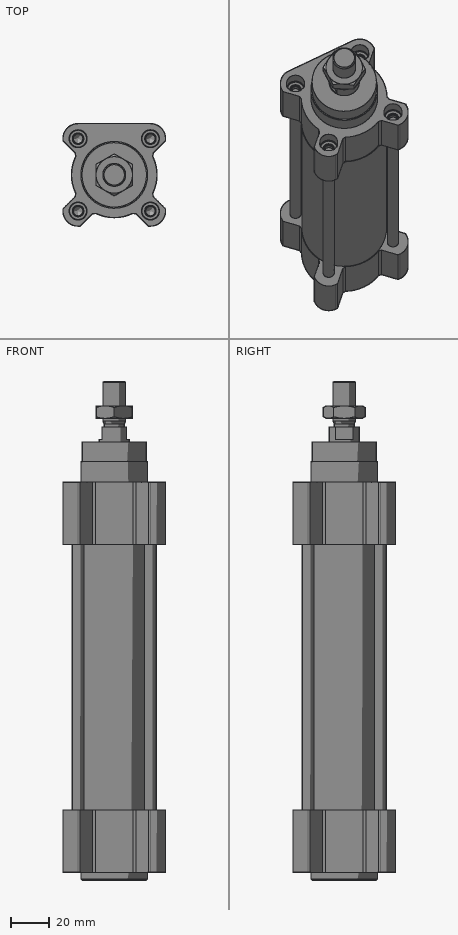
import cadquery as cq
import math

TOTAL_HEIGHT = 262.0
CAP_HEIGHT = 32.7
REAR_BOSS_HEIGHT = 4.2
FRONT_CAP_TOP = 209.0
FRONT_BOSS_TOP = 219.7
HEAD_TOP = 230.2
SHOULDER_TOP = 238.0
NECK_TOP = 239.6
THREAD_BOTTOM = 241.2

CAP_WIDTH = 54.0
TIE_ROD_SPACING = 38.0
CAP_BODY_DIAMETER = 45.0
LUG_WIDTH = 12.8
LUG_ROOT_CHAMFER = 1.0

BARREL_DIAMETER = 44.5
TIE_ROD_DIAMETER = 6.0
BOSS_DIAMETER = 35.0
HEAD_DIAMETER = 33.8
REAR_BOSS_CHAMFER = 0.8

RECESS_DIAMETER = 9.5
RECESS_DEPTH = 7.9
SEAT_DIAMETER = 9.0
SEAT_DEPTH = 8.6
COUNTERBORE_DIAMETER = 6.0
COUNTERBORE_DEPTH = 10.0
DRILL_DIAMETER = 5.0
DRILL_DEPTH = 12.5
DRILL_POINT_ANGLE = 118.0

ROD_DIAMETER = 16.0
THREAD_DIAMETER = 12.0
NECK_DIAMETER = 10.7
TIP_CHAMFER = 0.65
WRENCH_FLAT_WIDTH = 13.0
WRENCH_FLAT_BOTTOM = 231.5

NUT_BOTTOM = 242.5
NUT_HEIGHT = 6.5
NUT_FLAT_WIDTH = 19.0
NUT_CHAMFER_ANGLE = 30.0

FRONT_CAP_BOTTOM = FRONT_CAP_TOP - CAP_HEIGHT
REAR_CAP_TOP = REAR_BOSS_HEIGHT + CAP_HEIGHT
HALF_SPACING = TIE_ROD_SPACING / 2
CORNER_RADIUS = (CAP_WIDTH - TIE_ROD_SPACING) / 2
TIE_ROD_CENTRES = [(x, y) for x in (-HALF_SPACING, HALF_SPACING) for y in (-HALF_SPACING, HALF_SPACING)]


def cylinder(diameter, bottom, top):
    """Upright cylinder on the Z axis between two heights."""
    return cq.Workplane("XY").workplane(offset=bottom).circle(diameter / 2).extrude(top - bottom)


def revolved(profile):
    """Solid of revolution about the Z axis from (radius, height) points."""
    return cq.Workplane("XZ").polyline(profile).close().revolve(360, (0, 0, 0), (0, 1, 0))


def make_cap(bottom):
    """Round cap with four diagonal lugs and a flat plate joining the two +Y lugs."""
    base = cq.Workplane("XY").workplane(offset=bottom)
    body = cylinder(CAP_BODY_DIAMETER, bottom, bottom + CAP_HEIGHT)
    for angle in (45, 135):
        lugs = base.rect(2 * CAP_WIDTH, LUG_WIDTH).extrude(CAP_HEIGHT)
        body = body.union(lugs.rotate((0, 0, 0), (0, 0, 1), angle))
    plate = base.center(0, CAP_WIDTH / 4).rect(TIE_ROD_SPACING, CAP_WIDTH / 2).extrude(CAP_HEIGHT)
    wedge_points = [(0, 0), (CAP_WIDTH, CAP_WIDTH), (-CAP_WIDTH, CAP_WIDTH)]
    wedge = base.polyline(wedge_points).close().extrude(CAP_HEIGHT)
    body = body.union(plate.intersect(wedge))
    envelope = base.rect(CAP_WIDTH, CAP_WIDTH).extrude(CAP_HEIGHT).edges("|Z").fillet(CORNER_RADIUS)
    cap = body.intersect(envelope)

    half_chord = math.sqrt(CAP_BODY_DIAMETER ** 2 - LUG_WIDTH ** 2) / 2
    near = (half_chord - LUG_WIDTH / 2) / math.sqrt(2)
    far = (half_chord + LUG_WIDTH / 2) / math.sqrt(2)
    middle = bottom + CAP_HEIGHT / 2
    roots = [(-near, -far), (near, -far), (-far, -near), (far, -near), (-far, near), (far, near)]
    for x, y in roots:
        root = cq.selectors.NearestToPointSelector((x, y, middle))
        cap = cap.edges("|Z").edges(root).chamfer(LUG_ROOT_CHAMFER)
    return cap


def make_tie_rod_recess():
    """Cutter for one recess; every depth is measured from the top of the front cap."""
    steps = [
        (RECESS_DIAMETER, RECESS_DEPTH),
        (SEAT_DIAMETER, SEAT_DEPTH),
        (COUNTERBORE_DIAMETER, COUNTERBORE_DEPTH),
        (DRILL_DIAMETER, DRILL_DEPTH),
    ]
    profile = [(0, FRONT_CAP_TOP)]
    step_top = FRONT_CAP_TOP
    for diameter, depth in steps:
        step_bottom = FRONT_CAP_TOP - depth
        profile += [(diameter / 2, step_top), (diameter / 2, step_bottom)]
        step_top = step_bottom
    point_height = DRILL_DIAMETER / 2 / math.tan(math.radians(DRILL_POINT_ANGLE / 2))
    profile.append((0, step_top - point_height))
    return revolved(profile)


def make_housing():
    housing = cylinder(BARREL_DIAMETER, REAR_CAP_TOP, FRONT_CAP_BOTTOM)
    housing = housing.union(make_cap(REAR_BOSS_HEIGHT)).union(make_cap(FRONT_CAP_BOTTOM))

    rear_boss = cylinder(BOSS_DIAMETER, 0, REAR_BOSS_HEIGHT).faces("<Z").chamfer(REAR_BOSS_CHAMFER)
    front_boss = cylinder(BOSS_DIAMETER, FRONT_CAP_TOP, FRONT_BOSS_TOP)
    head = cylinder(HEAD_DIAMETER, FRONT_BOSS_TOP, HEAD_TOP)
    housing = housing.union(rear_boss).union(front_boss).union(head)

    recess = make_tie_rod_recess()
    tie_rod = cylinder(TIE_ROD_DIAMETER, REAR_CAP_TOP, FRONT_CAP_BOTTOM)
    for x, y in TIE_ROD_CENTRES:
        housing = housing.union(tie_rod.translate((x, y, 0)))
        housing = housing.cut(recess.translate((x, y, 0)))
    return housing


def make_piston_rod():
    """Rod end standing on the head: shoulder with two wrench flats, neck and threaded stem."""
    rod = cylinder(ROD_DIAMETER, HEAD_TOP, SHOULDER_TOP)
    flats = (
        cq.Workplane("XY").workplane(offset=WRENCH_FLAT_BOTTOM)
        .rect(2 * ROD_DIAMETER, 2 * ROD_DIAMETER)
        .rect(WRENCH_FLAT_WIDTH, 2 * ROD_DIAMETER)
        .extrude(SHOULDER_TOP - WRENCH_FLAT_BOTTOM)
    )
    rod = rod.cut(flats)
    neck_radius = NECK_DIAMETER / 2
    thread_radius = THREAD_DIAMETER / 2
    stem_profile = [
        (0, SHOULDER_TOP),
        (neck_radius, SHOULDER_TOP),
        (neck_radius, NECK_TOP),
        (thread_radius, THREAD_BOTTOM),
        (thread_radius, TOTAL_HEIGHT - TIP_CHAMFER),
        (thread_radius - TIP_CHAMFER, TOTAL_HEIGHT),
        (0, TOTAL_HEIGHT),
    ]
    return rod.union(revolved(stem_profile))


def make_lock_nut():
    """Hexagon with two flats facing +X and -X, chamfered on both faces, bored to fit the stem."""
    corner_diameter = NUT_FLAT_WIDTH / math.cos(math.radians(30))
    hexagon = (
        cq.Workplane("XY").workplane(offset=NUT_BOTTOM)
        .polygon(6, corner_diameter).extrude(NUT_HEIGHT)
        .rotate((0, 0, 0), (0, 0, 1), 30)
    )
    chamfer_run = (corner_diameter - NUT_FLAT_WIDTH) / 2
    chamfer_height = chamfer_run * math.tan(math.radians(NUT_CHAMFER_ANGLE))
    blank = cylinder(corner_diameter, NUT_BOTTOM, NUT_BOTTOM + NUT_HEIGHT)
    blank = blank.faces("<Z or >Z").chamfer(chamfer_height, chamfer_run)
    bore = cylinder(THREAD_DIAMETER, NUT_BOTTOM, NUT_BOTTOM + NUT_HEIGHT)
    return hexagon.intersect(blank).cut(bore)


housing = make_housing()
piston_rod = make_piston_rod()
lock_nut = make_lock_nut()

result = cq.Compound.makeCompound([housing.val(), piston_rod.val(), lock_nut.val()])